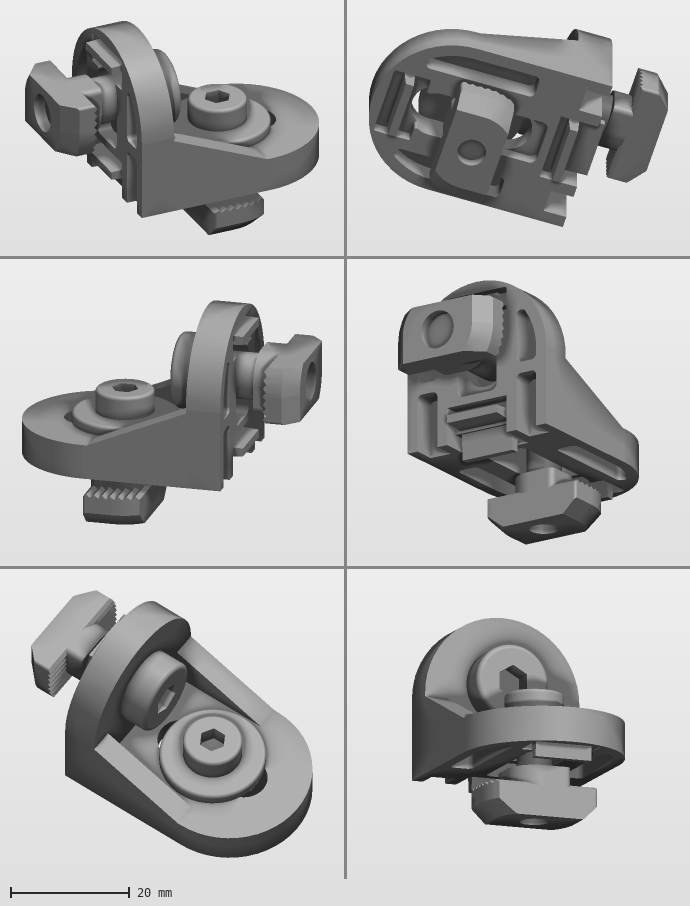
import cadquery as cq
import math

WIDTH = 28
HALF_WIDTH = WIDTH / 2
LEG_THICKNESS = 6
FLOOR_LEG_LENGTH = 38
WALL_LEG_LENGTH = 28

GUSSET_WIDTH = 4
GUSSET_FLOOR_REACH = 23.35
GUSSET_WALL_REACH = 13.35

SLOT_WIDTH = 8
SLOT_START = 10
FLOOR_SLOT_END_MARGIN = 7
WALL_SLOT_END_MARGIN = 6

RECESS_DEPTH = 2.55
RECESS_WIDTH = 12
RECESS_FILLET = 0.4
RECESS_END_MARGIN = 2
RECESS_STEP_TO_SLOT_END = 1.5
CHANNEL_START = 8
CHANNEL_FILLET = 1.25
CORNER_RECESS_END = 6.6

RIM = 2
POCKET_WIDTH = 4
POCKET_DEPTH = 4
POCKET_FILLET = 1
CORNER_POCKET_END = 10
ARCH_POCKET_START = CORNER_POCKET_END + RIM

TAB_LENGTH = 10.1
TAB_TIP_WIDTH = 1.4
TAB_TAPER = 3.5
TAB_CORNER_OFFSET = 4
FLOOR_TAB_END_MARGIN = 5
WALL_TAB_END_MARGIN = 4.05
FLOOR_TAB_HEIGHT = 2
WALL_TAB_HEIGHT = 1.5

FLOOR_BOLT_AXIS = 20.5
WALL_BOLT_AXIS = 16
BOLT_LENGTH = 16
SOCKET_DEPTH_RATIO = 0.75
WASHER_DIAMETER = 18
WASHER_HOLE = 6.4
WASHER_THICKNESS = 1.8
WASHER_FILLET = 0.6

FLOOR_SHANK = 6
FLOOR_THREAD_CORE = 4.9
FLOOR_HEAD = 10
FLOOR_HEAD_HEIGHT = 4
FLOOR_HEAD_FILLET = 0.6
FLOOR_SOCKET = 4

WALL_SHANK = 8
WALL_THREAD_CORE = 6.65
WALL_HEAD = 13
WALL_HEAD_HEIGHT = 5
WALL_HEAD_FILLET = 0.8
WALL_SOCKET = 5

NUT_LENGTH = 19.2
NUT_WIDTH = 9.7
NUT_HEIGHT = 8.8
NUT_NECK_HEIGHT = 3
NUT_NECK_FILLET = 1
NUT_CORNER_FILLET = 0.5
NUT_END_CHAMFER_HEIGHT = 2.5
NUT_END_CHAMFER_INSET = 2.6
TOOTH_COUNT = 7
TOOTH_DEPTH = 0.55
FLOOR_NUT_REACH = 10.2
WALL_NUT_REACH = 12
FLOOR_NUT_TOP = NUT_HEIGHT - FLOOR_NUT_REACH
WALL_NUT_TOP = NUT_HEIGHT - WALL_NUT_REACH

FLOOR_LEG = cq.Plane.XY()
WALL_LEG = cq.Plane(origin=(0, 0, 0), xDir=(-1, 0, 0), normal=(0, 1, 0))


def place(body, leg):
    """Move a body from local leg coordinates to its place on a leg."""
    return cq.Workplane(body.val().moved(cq.Location(leg)))


def block(x_min, x_max, y_min, y_max, z_min, z_max):
    return (
        cq.Workplane("XY")
        .box(x_max - x_min, y_max - y_min, z_max - z_min, centered=False)
        .translate((x_min, y_min, z_min))
    )


def leg_plate(length):
    spring_line = length - HALF_WIDTH
    return (
        cq.Workplane("XY")
        .moveTo(-HALF_WIDTH, 0)
        .lineTo(HALF_WIDTH, 0)
        .lineTo(HALF_WIDTH, spring_line)
        .threePointArc((0, length), (-HALF_WIDTH, spring_line))
        .close()
        .extrude(LEG_THICKNESS)
    )


def gussets():
    plate = (
        cq.Workplane("YZ", origin=(-HALF_WIDTH, 0, 0))
        .polyline([
            (0, 0),
            (GUSSET_FLOOR_REACH, 0),
            (GUSSET_FLOOR_REACH, LEG_THICKNESS),
            (LEG_THICKNESS, GUSSET_WALL_REACH),
            (0, GUSSET_WALL_REACH),
        ])
        .close()
        .extrude(GUSSET_WIDTH)
    )
    return plate.union(plate.mirror("YZ"))


def arch_pocket(length):
    """Pocket whose outer side follows the round end of the leg."""
    spring_line = length - HALF_WIDTH
    outer = HALF_WIDTH - RIM
    inner = outer - POCKET_WIDTH
    disc = cq.Workplane("XY").center(0, spring_line).circle(outer).extrude(POCKET_DEPTH)
    straight = block(-outer, outer, ARCH_POCKET_START, spring_line, 0, POCKET_DEPTH)
    strip = block(inner, outer, ARCH_POCKET_START, length, 0, POCKET_DEPTH)
    pocket = strip.intersect(disc.union(straight))
    return pocket.edges("|Z and (<X or <Y)").fillet(POCKET_FILLET)


def corner_pocket():
    """Pocket beside the bracket corner, open at the corner edge."""
    outer = HALF_WIDTH - RIM
    pocket = block(outer - POCKET_WIDTH, outer, 0, CORNER_POCKET_END, 0, POCKET_DEPTH)
    return pocket.edges("|Z and >Y").fillet(POCKET_FILLET)


def bolt_slot(end, depth):
    return (
        cq.Workplane("XY")
        .center(0, (SLOT_START + end) / 2)
        .slot2D(end - SLOT_START, SLOT_WIDTH, 90)
        .extrude(depth)
    )


def recesses(length, slot_end):
    """Corner recess, and an end recess that opens through the slot into a channel of the slot's width."""
    half = RECESS_WIDTH / 2
    half_slot = SLOT_WIDTH / 2
    step = slot_end - RECESS_STEP_TO_SLOT_END
    corner_recess = block(-half, half, 0, CORNER_RECESS_END, 0, RECESS_DEPTH)
    end_recess = block(-half, half, step, length - RECESS_END_MARGIN, 0, RECESS_DEPTH)
    channel = block(-half_slot, half_slot, CHANNEL_START, slot_end - half_slot, 0, RECESS_DEPTH)
    outline = (
        end_recess.edges("|Z").fillet(RECESS_FILLET)
        .union(bolt_slot(slot_end, RECESS_DEPTH))
        .union(channel.edges("|Z and <Y").fillet(CHANNEL_FILLET))
    )
    step_corners = cq.selectors.BoxSelector(
        (-half_slot, step - RECESS_FILLET / 2, 0), (half_slot, step + RECESS_FILLET / 2, RECESS_DEPTH)
    )
    return outline.edges(step_corners).edges("|Z").fillet(RECESS_FILLET).union(corner_recess)


def tab(offset, height):
    tip = TAB_TIP_WIDTH / 2
    root = tip + (RECESS_DEPTH + height) * math.tan(math.radians(TAB_TAPER))
    return (
        cq.Workplane("YZ", origin=(-TAB_LENGTH / 2, offset, 0))
        .polyline([(-tip, -height), (tip, -height), (root, RECESS_DEPTH), (-root, RECESS_DEPTH)])
        .close()
        .extrude(TAB_LENGTH)
    )


def leg_cuts(length, slot_margin):
    pocket = arch_pocket(length)
    slot_end = length - slot_margin
    return [pocket, pocket.mirror("YZ"), recesses(length, slot_end), bolt_slot(slot_end, LEG_THICKNESS)]


def make_bracket():
    legs = [
        (FLOOR_LEG, FLOOR_LEG_LENGTH, FLOOR_SLOT_END_MARGIN, FLOOR_TAB_END_MARGIN, FLOOR_TAB_HEIGHT),
        (WALL_LEG, WALL_LEG_LENGTH, WALL_SLOT_END_MARGIN, WALL_TAB_END_MARGIN, WALL_TAB_HEIGHT),
    ]
    body = gussets()
    for leg, length, *_ in legs:
        body = body.union(place(leg_plate(length), leg))
    for leg, length, slot_margin, *_ in legs:
        for cut in leg_cuts(length, slot_margin):
            body = body.cut(place(cut, leg))
    for cut in (corner_pocket(), corner_pocket().mirror("YZ")):
        body = body.cut(place(cut, WALL_LEG))
    for leg, length, _, tab_margin, tab_height in legs:
        for offset in (TAB_CORNER_OFFSET, length - tab_margin):
            body = body.union(place(tab(offset, tab_height), leg))
    return body


def make_bolt(axis, seat, nut_top, shank, thread, head, head_height, head_fillet, socket):
    """Socket-head bolt whose thread, modelled at its core diameter, starts at the top of the nut.

    The shank, thread, head and socket sizes are diameters, the socket's measured across its flats.
    """
    socket_depth = head_height * SOCKET_DEPTH_RATIO
    head_body = (
        cq.Workplane("XY", origin=(0, axis, seat))
        .circle(head / 2)
        .extrude(head_height)
        .faces(">Z")
        .edges()
        .fillet(head_fillet)
    )
    socket_cut = (
        cq.Workplane("XY", origin=(0, axis, seat + head_height - socket_depth))
        .polygon(6, socket, circumscribed=True)
        .extrude(socket_depth)
    )
    shank_body = cq.Workplane("XY", origin=(0, axis, nut_top)).circle(shank / 2).extrude(seat - nut_top)
    tip = seat - BOLT_LENGTH
    thread_body = cq.Workplane("XY", origin=(0, axis, tip)).circle(thread / 2).extrude(nut_top - tip)
    return head_body.cut(socket_cut).union(shank_body).union(thread_body)


def make_washer():
    return (
        cq.Workplane("XY", origin=(0, FLOOR_BOLT_AXIS, LEG_THICKNESS))
        .circle(WASHER_DIAMETER / 2)
        .extrude(WASHER_THICKNESS)
        .faces(">Z")
        .edges()
        .fillet(WASHER_FILLET)
        .faces("<Z")
        .workplane()
        .circle(WASHER_HOLE / 2)
        .cutThruAll()
    )


def turning_shape(end_profile, corner_fillet):
    """Round block squared off in two opposite quadrants, as on a nut that turns and locks in its groove.

    The end profile holds (distance from the axis, height) points, from the axis at the top
    down to the axis at the bottom.
    """
    half = NUT_WIDTH / 2
    radius = max(distance for distance, _ in end_profile)
    top = end_profile[0][1]
    bottom = end_profile[-1][1]
    profile = cq.Workplane("XZ").polyline(end_profile).close()
    round_part = profile.revolve(360, (0, 0, 0), (0, 1, 0)).intersect(
        block(-radius, radius, -half, half, bottom, top)
    )
    corner_block = block(0, radius, -half, 0, bottom, top).edges("|Z and >X and <Y").fillet(corner_fillet)
    square_corner = cq.Workplane("XZ").polyline(end_profile).close().extrude(half).intersect(corner_block)
    return round_part.union(square_corner).union(square_corner.rotate((0, 0, 0), (0, 0, 1), 180))


def toothed_block():
    """Full-length block with a row of teeth along its upper face."""
    half = NUT_WIDTH / 2
    pitch = NUT_WIDTH / TOOTH_COUNT
    valley = -NUT_NECK_HEIGHT - TOOTH_DEPTH
    profile = cq.Workplane("YZ", origin=(-NUT_LENGTH / 2, 0, 0))
    profile = profile.moveTo(-half, -NUT_HEIGHT).lineTo(-half, valley)
    for tooth in range(TOOTH_COUNT):
        start = -half + tooth * pitch
        profile = profile.lineTo(start + pitch / 2, -NUT_NECK_HEIGHT).lineTo(start + pitch, valley)
    return profile.lineTo(half, -NUT_HEIGHT).close().extrude(NUT_LENGTH)


def make_nut(axis, top, bore):
    neck_radius = NUT_WIDTH / 2
    neck_end = -NUT_NECK_HEIGHT - TOOTH_DEPTH
    neck_profile = [(0, 0), (neck_radius, 0), (neck_radius, neck_end), (0, neck_end)]
    head_radius = NUT_LENGTH / 2
    head_profile = [
        (0, -NUT_NECK_HEIGHT),
        (head_radius, -NUT_NECK_HEIGHT),
        (head_radius, -NUT_HEIGHT + NUT_END_CHAMFER_HEIGHT),
        (head_radius - NUT_END_CHAMFER_INSET, -NUT_HEIGHT),
        (0, -NUT_HEIGHT),
    ]
    neck = turning_shape(neck_profile, NUT_NECK_FILLET)
    head = turning_shape(head_profile, NUT_CORNER_FILLET).intersect(toothed_block())
    hole = cq.Workplane("XY", origin=(0, 0, -NUT_HEIGHT)).circle(bore / 2).extrude(NUT_HEIGHT)
    return neck.union(head).cut(hole).translate((0, axis, top))


bracket = make_bracket()
washer = make_washer()
floor_bolt = make_bolt(
    FLOOR_BOLT_AXIS, LEG_THICKNESS + WASHER_THICKNESS, FLOOR_NUT_TOP, FLOOR_SHANK, FLOOR_THREAD_CORE,
    FLOOR_HEAD, FLOOR_HEAD_HEIGHT, FLOOR_HEAD_FILLET, FLOOR_SOCKET,
)
wall_bolt = place(
    make_bolt(
        WALL_BOLT_AXIS, LEG_THICKNESS, WALL_NUT_TOP, WALL_SHANK, WALL_THREAD_CORE,
        WALL_HEAD, WALL_HEAD_HEIGHT, WALL_HEAD_FILLET, WALL_SOCKET,
    ),
    WALL_LEG,
)
floor_nut = make_nut(FLOOR_BOLT_AXIS, FLOOR_NUT_TOP, FLOOR_THREAD_CORE)
wall_nut = place(make_nut(WALL_BOLT_AXIS, WALL_NUT_TOP, WALL_THREAD_CORE), WALL_LEG)

result = cq.Compound.makeCompound([
    bracket.val(), washer.val(), floor_bolt.val(), wall_bolt.val(), floor_nut.val(), wall_nut.val(),
])